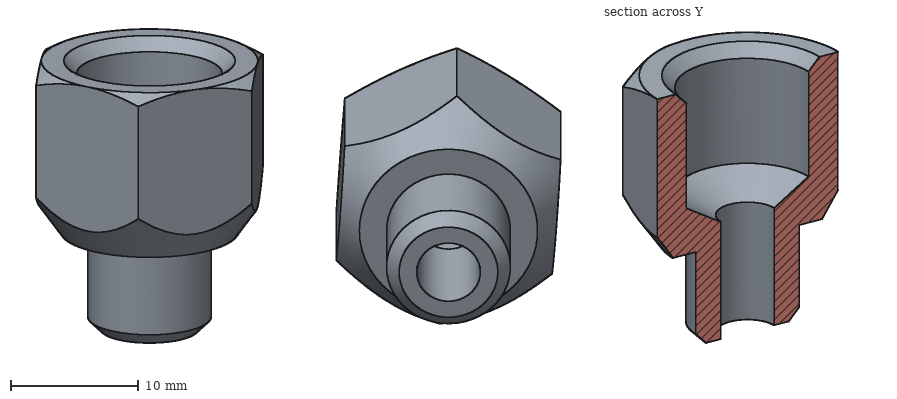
import cadquery as cq
import math

total_height = 22.0
across_flats = 17.0
stem_height = 8.0
stem_diameter = 9.72
stem_chamfer = 1.0

top_trim_angle = 30.0
base_diameter = 14.0
base_cone_height = 4.0

through_diameter = 5.0
bore_diameter = 11.42
bore_depth = 10.0
bore_tip_angle = 118.0
mouth_diameter = 13.46
mouth_depth = (mouth_diameter - bore_diameter) / 2

across_corners = across_flats / math.cos(math.radians(30))
corner_radius = across_corners / 2
flat_radius = across_flats / 2
stem_radius = stem_diameter / 2
bore_radius = bore_diameter / 2
through_radius = through_diameter / 2


def revolve_profile(points):
    """Turn a closed (radius, height) profile around the Z axis."""
    profile = cq.Workplane("XZ").polyline(points).close()
    return profile.revolve(360, (0, 0, 0), (0, 1, 0))


def make_hex_head():
    """Hexagon with corners on the Y axis, trimmed by a cone at each end."""
    prism = (
        cq.Workplane("XY")
        .workplane(offset=stem_height)
        .polygon(6, across_corners)
        .extrude(total_height - stem_height)
        .rotate((0, 0, 0), (0, 0, 1), 30)
    )
    trim_drop = (corner_radius - flat_radius) * math.tan(math.radians(top_trim_angle))
    envelope = revolve_profile([
        (0, stem_height),
        (base_diameter / 2, stem_height),
        (corner_radius, stem_height + base_cone_height),
        (corner_radius, total_height - trim_drop),
        (flat_radius, total_height),
        (0, total_height),
    ])
    return prism.intersect(envelope)


def make_stem():
    """Round stem with a chamfered lower end."""
    return revolve_profile([
        (0, 0),
        (stem_radius - stem_chamfer, 0),
        (stem_radius, stem_chamfer),
        (stem_radius, stem_height),
        (0, stem_height),
    ])


def make_bore():
    """Chamfered bore with a conical floor, continuing as a through hole."""
    bore_floor = total_height - bore_depth
    floor_cone_height = (bore_radius - through_radius) / math.tan(math.radians(bore_tip_angle / 2))
    return revolve_profile([
        (0, 0),
        (through_radius, 0),
        (through_radius, bore_floor - floor_cone_height),
        (bore_radius, bore_floor),
        (bore_radius, total_height - mouth_depth),
        (mouth_diameter / 2, total_height),
        (0, total_height),
    ])


result = make_hex_head().union(make_stem()).cut(make_bore())